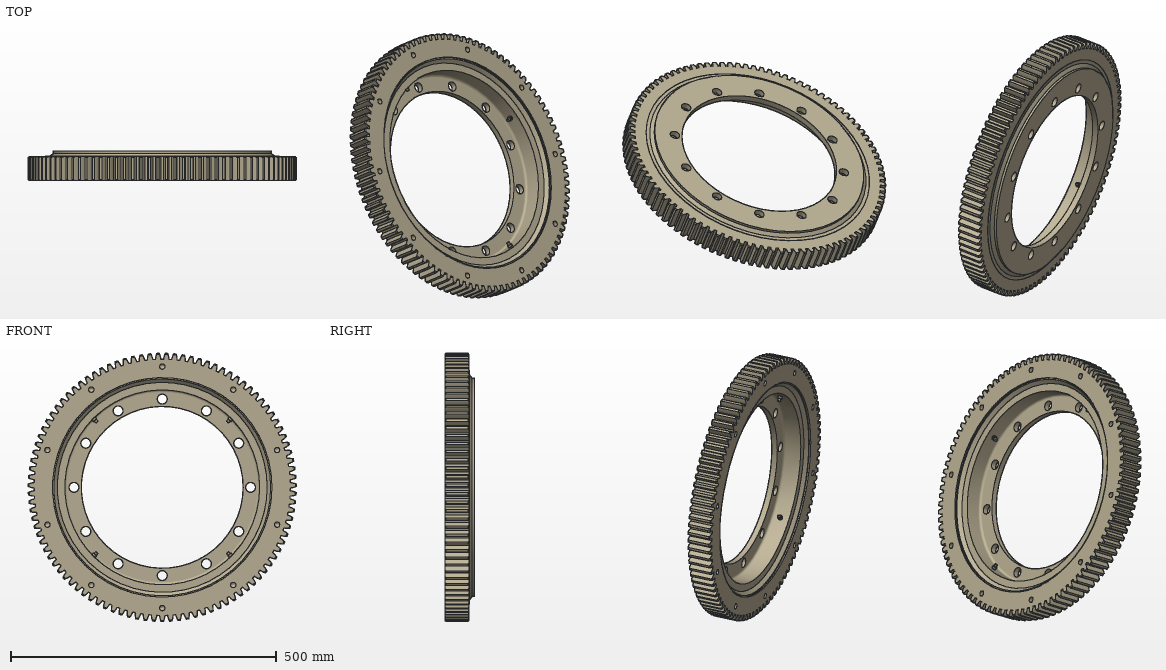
import cadquery as cq
import math


tip_radius = 252.5
root_radius = 241.5
tooth_count = 99
tooth_tip_width = 4.5
tooth_root_width = 10.5
tooth_middle_width = 8.5
gear_width = 45.5
tooth_end_chamfer = 2.0
boss_radius = 219.5
boss_height = 0.75

joint_radius = 205.5
wall_radius = 183.5
bore_radius = 152.0
fillet_radius = 4.5
flange_thickness = 11.5
total_width = 56.0
inner_ring_recess = 10.0

gear_hole_circle = 227.0
gear_hole_count = 10
gear_hole_diameter = 10.0
gear_hole_depth = 20.0
drill_point_angle = 118
flange_hole_circle = 166.0
flange_hole_count = 12
flange_hole_diameter = 18.0

front_seal_radius = 206.5
front_seal_recess = 3.0
front_seal_face_radius = 204.0
front_seal_lip_radius = 197.5
rear_seal_radius = 212.5
rear_seal_height = 5.0

nipple_count = 4
nipple_first_angle = 45
nipple_y = 28.0
nipple_collar_diameter = 8.5
nipple_collar_height = 4.5
nipple_tip_diameter = 5.5
nipple_length = 9.5
nipple_shank_diameter = 5.0
nipple_shank_depth = 5.0

joint_rear = gear_width + boss_height
flange_front = total_width - flange_thickness


def revolve_about_y(outline):
    return outline.close().revolve(360, (0, 0, 0), (0, 1, 0))


def copies_about_y(body, count, first_angle):
    step = 360 / count
    return [body.rotate((0, 0, 0), (0, 1, 0), first_angle + step * i) for i in range(count)]


def gear_point(radius, angle):
    return (radius * math.sin(angle), radius * math.cos(angle))


def toothed_disc():
    """Disc with all the teeth; a gap is centred on +Z."""
    pitch_angle = 2 * math.pi / tooth_count
    middle_radius = (tip_radius + root_radius) / 2
    root_half = tooth_root_width / 2 / root_radius
    middle_half = tooth_middle_width / 2 / middle_radius
    tip_half = tooth_tip_width / 2 / tip_radius

    outline = cq.Workplane("XZ").moveTo(*gear_point(root_radius, pitch_angle / 2 - root_half))
    for i in range(tooth_count):
        centre = pitch_angle * (i + 0.5)
        outline = outline.threePointArc(
            gear_point(middle_radius, centre - middle_half),
            gear_point(tip_radius, centre - tip_half),
        )
        outline = outline.threePointArc(
            gear_point(tip_radius, centre),
            gear_point(tip_radius, centre + tip_half),
        )
        outline = outline.threePointArc(
            gear_point(middle_radius, centre + middle_half),
            gear_point(root_radius, centre + root_half),
        )
        if i < tooth_count - 1:
            outline = outline.lineTo(*gear_point(root_radius, centre + pitch_angle - root_half))
    return outline.close().extrude(-joint_rear)


def make_gear_ring():
    blank = revolve_about_y(
        cq.Workplane("XY")
        .moveTo(front_seal_radius, 0)
        .lineTo(tip_radius - tooth_end_chamfer, 0)
        .lineTo(tip_radius, tooth_end_chamfer)
        .lineTo(tip_radius, gear_width - tooth_end_chamfer)
        .lineTo(tip_radius - tooth_end_chamfer, gear_width)
        .lineTo(boss_radius, gear_width)
        .lineTo(boss_radius, joint_rear)
        .lineTo(joint_radius, joint_rear)
        .lineTo(joint_radius, inner_ring_recess)
        .lineTo(front_seal_radius, inner_ring_recess)
    )
    ring = toothed_disc().intersect(blank)
    return ring.cut(make_gear_hole_drills())


def make_gear_hole_drills():
    """Blind bolt holes with a drill point, open on the front face."""
    radius = gear_hole_diameter / 2
    point_depth = radius / math.tan(math.radians(drill_point_angle / 2))
    drill = (
        revolve_about_y(
            cq.Workplane("XY")
            .lineTo(radius, 0)
            .lineTo(radius, gear_hole_depth)
            .lineTo(0, gear_hole_depth + point_depth)
        )
        .translate((0, 0, gear_hole_circle))
        .val()
    )
    return cq.Compound.makeCompound(copies_about_y(drill, gear_hole_count, 0))


def make_inner_ring(nipples):
    fillet_middle = fillet_radius * (1 - math.sqrt(0.5))
    ring = revolve_about_y(
        cq.Workplane("XY")
        .moveTo(bore_radius, flange_front)
        .lineTo(wall_radius - fillet_radius, flange_front)
        .threePointArc(
            (wall_radius - fillet_middle, flange_front - fillet_middle),
            (wall_radius, flange_front - fillet_radius),
        )
        .lineTo(wall_radius, inner_ring_recess)
        .lineTo(joint_radius, inner_ring_recess)
        .lineTo(joint_radius, total_width)
        .lineTo(bore_radius, total_width)
    )
    flange_holes = (
        cq.Workplane("XZ", origin=(0, flange_front, 0))
        .polarArray(flange_hole_circle, 0, 360, flange_hole_count)
        .circle(flange_hole_diameter / 2)
        .extrude(-flange_thickness)
    )
    ring = ring.cut(flange_holes)
    for nipple in nipples:
        ring = ring.cut(nipple)
    return ring


def make_front_seal():
    """Lip seal between the gear ring bore and the front face of the inner ring."""
    return revolve_about_y(
        cq.Workplane("XY")
        .moveTo(front_seal_radius, front_seal_recess)
        .lineTo(front_seal_face_radius, front_seal_recess)
        .lineTo(front_seal_lip_radius, inner_ring_recess)
        .lineTo(front_seal_radius, inner_ring_recess)
    )


def make_rear_seal():
    """Conical seal between the boss of the gear ring and the rim of the inner ring."""
    return revolve_about_y(
        cq.Workplane("XY")
        .moveTo(joint_radius, joint_rear)
        .lineTo(rear_seal_radius, joint_rear)
        .lineTo(joint_radius, joint_rear + rear_seal_height)
    )


def make_nipples():
    """Stepped grease nipples, each pointing inward with its shank in the wall of the inner ring."""
    tip_x = wall_radius - nipple_length
    collar_x = wall_radius - nipple_collar_height
    seat_x = math.sqrt(wall_radius**2 - (nipple_collar_diameter / 2) ** 2)
    nipple = (
        cq.Workplane("XY", origin=(0, nipple_y, 0))
        .moveTo(tip_x, 0)
        .lineTo(tip_x, nipple_tip_diameter / 2)
        .lineTo(collar_x, nipple_tip_diameter / 2)
        .lineTo(collar_x, nipple_collar_diameter / 2)
        .lineTo(seat_x, nipple_collar_diameter / 2)
        .lineTo(seat_x, nipple_shank_diameter / 2)
        .lineTo(wall_radius + nipple_shank_depth, nipple_shank_diameter / 2)
        .lineTo(wall_radius + nipple_shank_depth, 0)
        .close()
        .revolve(360, (0, 0, 0), (1, 0, 0))
    )
    return copies_about_y(nipple.val(), nipple_count, nipple_first_angle)


gear_ring = make_gear_ring()
nipples = make_nipples()
inner_ring = make_inner_ring(nipples)
front_seal = make_front_seal()
rear_seal = make_rear_seal()

result = cq.Compound.makeCompound(
    [
        gear_ring.val(),
        inner_ring.val(),
        front_seal.val(),
        rear_seal.val(),
        *nipples,
    ]
)